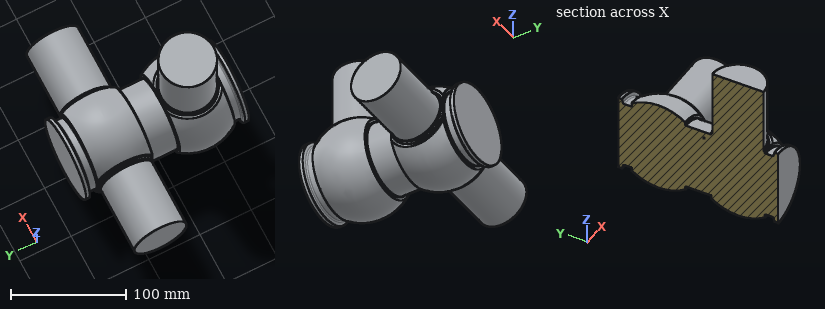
import cadquery as cq

run_length = 159.0
neck_radius = 34.3

ball_offset = 39.5
ball_radius = 46.0
ball_half_width = 26.7
neck_weld = 0.6

flange_radius = 38.8
flange_rim = 3.9
flange_taper = 1.0
taper_inner_radius = 35.5
flange_fillet = taper_inner_radius - neck_radius

branch_reach = 102.0
branch_radius = 25.5
seat_distance = 35.0
branch_weld = 1.6
collar_step = 0.2
collar_length = 1.6


def make_run():
    """Neck with a tapered, filleted flange at both ends, revolved about Y."""
    end = run_length / 2
    rim = end - flange_rim
    taper_end = rim - flange_taper
    fillet_end = taper_end - flange_fillet
    return (
        cq.Workplane("XY")
        .moveTo(0, -end)
        .lineTo(flange_radius, -end)
        .lineTo(flange_radius, -rim)
        .lineTo(taper_inner_radius, -taper_end)
        .radiusArc((neck_radius, -fillet_end), flange_fillet)
        .lineTo(neck_radius, fillet_end)
        .radiusArc((taper_inner_radius, taper_end), flange_fillet)
        .lineTo(flange_radius, rim)
        .lineTo(flange_radius, end)
        .lineTo(0, end)
        .close()
        .revolve(360, (0, 0, 0), (0, 1, 0))
    )


def make_ball(center_y, branch_directions):
    """Sphere with flat faces across the run and a flat seat under each branch."""
    size = 2 * ball_radius
    ball = cq.Workplane("XY").sphere(ball_radius)
    ball = ball.intersect(cq.Workplane("XY").box(size, 2 * ball_half_width, size))
    for direction in branch_directions:
        axis = cq.Vector(*direction)
        seat = cq.Plane(origin=(axis * seat_distance).toTuple(), normal=direction)
        ball = ball.cut(cq.Workplane(seat).rect(size, size).extrude(ball_radius))
    return ball.translate((0, center_y, 0))


def make_neck_welds(center_y):
    """Conical weld beads where the neck meets both flat faces of a ball."""
    bead_radius = neck_radius + neck_weld
    bead_half_width = ball_half_width + neck_weld
    return (
        cq.Workplane("XY")
        .moveTo(0, center_y - bead_half_width)
        .lineTo(neck_radius, center_y - bead_half_width)
        .lineTo(bead_radius, center_y - ball_half_width)
        .lineTo(bead_radius, center_y + ball_half_width)
        .lineTo(neck_radius, center_y + bead_half_width)
        .lineTo(0, center_y + bead_half_width)
        .close()
        .revolve(360, (0, 0, 0), (0, 1, 0))
    )


def make_branch(center_y, direction):
    """Solid branch pipe with a weld cone and a slight collar above the ball seat."""
    collar_radius = branch_radius + collar_step
    weld_top = seat_distance + branch_weld
    collar_top = weld_top + collar_length
    weld_radius = branch_radius + branch_weld
    branch = (
        cq.Workplane("XZ")
        .lineTo(branch_radius, 0)
        .lineTo(branch_radius, seat_distance)
        .lineTo(weld_radius, seat_distance)
        .lineTo(collar_radius, weld_top)
        .lineTo(collar_radius, collar_top)
        .lineTo(branch_radius, collar_top)
        .lineTo(branch_radius, branch_reach)
        .lineTo(0, branch_reach)
        .close()
        .revolve(360, (0, 0, 0), (0, 1, 0))
    )
    size = 2 * branch_reach
    branch = branch.intersect(cq.Workplane("XY").box(size, 2 * ball_half_width, size))
    tilt = 90 * direction[0]
    return branch.rotate((0, 0, 0), (0, 1, 0), tilt).translate((0, center_y, 0))


bodies = [
    (ball_offset, [(1, 0, 0), (-1, 0, 0)]),
    (-ball_offset, [(0, 0, 1)]),
]

result = make_run()
for center_y, directions in bodies:
    result = result.union(make_ball(center_y, directions))
    result = result.union(make_neck_welds(center_y))
    for direction in directions:
        result = result.union(make_branch(center_y, direction))